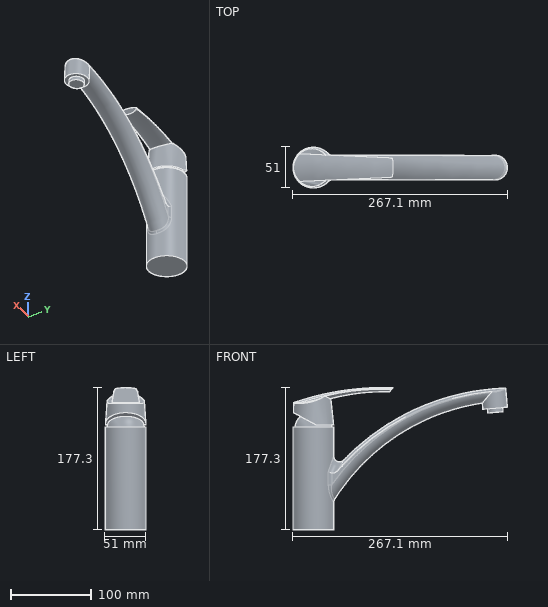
import cadquery as cq
import math

BODY_RADIUS = 51.0 / 2
BODY_HEIGHT = 128.0

BALL_RADIUS = 23.6
BALL_SINK = 3.7

CAP_BASE_RADIUS = 25.4
CAP_BASE_Z = BODY_HEIGHT + 2.7
CAP_TOP_RADIUS = 22.9
CAP_TOP_X = -1.5
CAP_TOP_Z = 168.0
CAP_FRONT_X = -BODY_RADIUS
CAP_FRONT_LOWER_Z = 146.0
CAP_FRONT_UPPER_Z = 157.5
CAP_SLANT_END_X = 3.1
CAP_DISH_MIDDLE = (0.5, 160.0)
CAP_PEAK = (14.5, 166.5)
CAP_BACK_Z = 160.5

LEVER_APEX_X = 88.0
LEVER_APEX_Z = 177.29
LEVER_ARC_RADIUS = 346.0
LEVER_CROWN_DROP = 2.5
LEVER_ROOT_X = -17.0
LEVER_ROOT_HALF_WIDTH = 17.2
LEVER_TIP_X = 99.5
LEVER_TIP_HALF_WIDTH = 12.0
LEVER_TIP_UNDERCUT = 4.8
LEVER_CORNER_RADIUS = 3.5
LEVER_HEEL_Z = 153.0
LEVER_BELLY_APEX_Z = 171.6
LEVER_BELLY_ARC_RADIUS = 263.5
LEVER_BELLY_RISE = 6.0
LEVER_START_ANGLE = 18.0
LEVER_END_ANGLE = -3.5

SPOUT_HALF_WIDTH = 31.0 / 2
SPOUT_ARC_X = 248.7
SPOUT_ARC_Z = -116.3
SPOUT_ARC_RADIUS = 293.0
SPOUT_CROWN_DROP = 3.6
SPOUT_BELLY_ARC_Z = -101.9
SPOUT_BELLY_ARC_RADIUS = 262.1
SPOUT_BELLY_RISE = 13.0
SPOUT_START_ANGLE = 60.0
SPOUT_EDGE_RADIUS = 1.2

SPOUT_ROOT_X = 15.0
SPOUT_ROOT_LOWER_Z = 20.0
SPOUT_ROOT_UPPER_Z = 80.0
SPOUT_BLEND_RADIUS = 7.0
SPOUT_BLEND_END_X = 36.0

BAR_WALL_HEIGHT = 30.0

HEAD_X = 226.2
HEAD_Z = 151.2
HEAD_TILT = 5.0
HEAD_LENGTH = 40.0
AERATOR_RADIUS = 19.44 / 2
AERATOR_LENGTH = 5.3


def crowned_ring(edge_half_width, edge_drop, arc_x, arc_z, arc_radius):
    """Ring about a Y-parallel axis, as wide as the body and crowned on its outer side.

    The crown falls by edge_drop at edge_half_width from the middle plane.
    """
    crown_radius = (edge_half_width**2 + edge_drop**2) / (2 * edge_drop)
    side_radius = arc_radius - crown_radius + math.sqrt(crown_radius**2 - BODY_RADIUS**2)
    inner_radius = arc_radius / 2
    section = (
        cq.Workplane("YZ", origin=(arc_x, 0, arc_z))
        .moveTo(-BODY_RADIUS, side_radius)
        .threePointArc((0, arc_radius), (BODY_RADIUS, side_radius))
        .lineTo(BODY_RADIUS, inner_radius)
        .lineTo(-BODY_RADIUS, inner_radius)
        .close()
    )
    ring = section.revolve(360, (0, 0), (1, 0))
    return ring.rotate((arc_x, 0, arc_z), (arc_x, 1, arc_z), 180)


def bellied_bar(half_width, belly_rise, arc_x, arc_z, arc_radius, start_angle, end_angle):
    """Arched bar with a rounded belly and straight side walls.

    The angles are measured from the vertical above the arc axis, positive towards -X.
    """
    shoulder_radius = arc_radius + belly_rise
    wall_top_radius = shoulder_radius + BAR_WALL_HEIGHT
    section = (
        cq.Workplane("YZ", origin=(arc_x, 0, arc_z))
        .moveTo(-half_width, shoulder_radius)
        .threePointArc((0, arc_radius), (half_width, shoulder_radius))
        .lineTo(half_width, wall_top_radius)
        .lineTo(-half_width, wall_top_radius)
        .close()
    )
    bar = section.revolve(start_angle - end_angle, (0, 0), (1, 0))
    return bar.rotate((arc_x, 0, arc_z), (arc_x, 1, arc_z), -start_angle)


def extrude_across(profile, half_width):
    """Extrude an XZ profile symmetrically to both sides of the middle plane."""
    return profile.extrude(half_width, both=True)


def make_body():
    return cq.Workplane("XY").circle(BODY_RADIUS).extrude(BODY_HEIGHT)


def make_ball():
    return cq.Workplane("XY").sphere(BALL_RADIUS).translate((0, 0, BODY_HEIGHT - BALL_SINK))


def make_cap():
    cone = (
        cq.Workplane("XY", origin=(0, 0, CAP_BASE_Z))
        .circle(CAP_BASE_RADIUS)
        .workplane(offset=CAP_TOP_Z - CAP_BASE_Z)
        .center(CAP_TOP_X, 0)
        .circle(CAP_TOP_RADIUS)
        .loft()
    )
    side_profile = (
        cq.Workplane("XZ")
        .moveTo(CAP_FRONT_X, CAP_FRONT_LOWER_Z)
        .lineTo(CAP_SLANT_END_X, CAP_BASE_Z)
        .lineTo(BODY_RADIUS, CAP_BASE_Z)
        .lineTo(BODY_RADIUS, CAP_BACK_Z)
        .lineTo(*CAP_PEAK)
        .threePointArc(CAP_DISH_MIDDLE, (CAP_FRONT_X, CAP_FRONT_UPPER_Z))
        .close()
    )
    return cone.intersect(extrude_across(side_profile, BODY_RADIUS))


def make_lever_outline():
    """Prism over the plan outline: round heel inside the cap rim, straight tapering sides."""
    heel_fraction = (CAP_FRONT_UPPER_Z - CAP_BASE_Z) / (CAP_TOP_Z - CAP_BASE_Z)
    heel_radius = CAP_BASE_RADIUS + heel_fraction * (CAP_TOP_RADIUS - CAP_BASE_RADIUS)
    heel_x = heel_fraction * CAP_TOP_X - heel_radius
    outline = (
        cq.Workplane("XY")
        .moveTo(LEVER_ROOT_X, -LEVER_ROOT_HALF_WIDTH)
        .lineTo(LEVER_TIP_X, -LEVER_TIP_HALF_WIDTH)
        .lineTo(LEVER_TIP_X, LEVER_TIP_HALF_WIDTH)
        .lineTo(LEVER_ROOT_X, LEVER_ROOT_HALF_WIDTH)
        .threePointArc((heel_x, 0), (LEVER_ROOT_X, -LEVER_ROOT_HALF_WIDTH))
        .close()
    )
    return outline.extrude(LEVER_APEX_Z).edges("|Z and >X").fillet(LEVER_CORNER_RADIUS)


def make_lever():
    crown = crowned_ring(
        LEVER_ROOT_HALF_WIDTH, LEVER_CROWN_DROP,
        LEVER_APEX_X, LEVER_APEX_Z - LEVER_ARC_RADIUS, LEVER_ARC_RADIUS,
    )
    side_profile = (
        cq.Workplane("XZ")
        .moveTo(CAP_FRONT_X, LEVER_HEEL_Z)
        .lineTo(LEVER_TIP_X - LEVER_TIP_UNDERCUT, LEVER_HEEL_Z)
        .lineTo(LEVER_TIP_X - LEVER_TIP_UNDERCUT, LEVER_BELLY_APEX_Z)
        .lineTo(LEVER_TIP_X, LEVER_APEX_Z)
        .lineTo(CAP_FRONT_X, LEVER_APEX_Z)
        .close()
    )
    envelope = make_lever_outline().intersect(extrude_across(side_profile, BODY_RADIUS)).intersect(crown)
    bar = bellied_bar(
        LEVER_ROOT_HALF_WIDTH, LEVER_BELLY_RISE,
        LEVER_APEX_X, LEVER_BELLY_APEX_Z - LEVER_BELLY_ARC_RADIUS, LEVER_BELLY_ARC_RADIUS,
        LEVER_START_ANGLE, LEVER_END_ANGLE,
    )
    cap_peak_x = CAP_PEAK[0]
    root = cq.Workplane("XY").box(
        cap_peak_x - CAP_FRONT_X, 2 * BODY_RADIUS, LEVER_APEX_Z, centered=(False, True, False)
    ).translate((CAP_FRONT_X, 0, 0))
    return envelope.intersect(bar.union(root))


def leaning_cylinder(radius, start, end):
    """Cylinder on the leaning head axis, between two heights above the head's lower face."""
    cylinder = cq.Workplane("XY").workplane(offset=start).circle(radius).extrude(end - start)
    return cylinder.rotate((0, 0, 0), (0, 1, 0), -HEAD_TILT).translate((HEAD_X, 0, HEAD_Z))


def make_spout():
    belly_arc_x = HEAD_X + (HEAD_Z - SPOUT_BELLY_ARC_Z) * math.tan(math.radians(HEAD_TILT))
    bar = bellied_bar(
        SPOUT_HALF_WIDTH, SPOUT_BELLY_RISE,
        belly_arc_x, SPOUT_BELLY_ARC_Z, SPOUT_BELLY_ARC_RADIUS,
        SPOUT_START_ANGLE, HEAD_TILT,
    )
    head = leaning_cylinder(SPOUT_HALF_WIDTH, 0, HEAD_LENGTH)
    crown = crowned_ring(SPOUT_HALF_WIDTH, SPOUT_CROWN_DROP, SPOUT_ARC_X, SPOUT_ARC_Z, SPOUT_ARC_RADIUS)
    return bar.union(head).intersect(crown)


def make_aerator():
    return leaning_cylinder(AERATOR_RADIUS, -AERATOR_LENGTH, AERATOR_LENGTH)


def soften_spout(spout):
    """Round the long upper edges of the spout and the rim of its head, clear of the root."""
    crown_face = spout.faces("%TORUS").faces(">Z")
    clear_of_root = cq.selectors.BoxSelector(
        (BODY_RADIUS, -BODY_RADIUS, 0), (2 * SPOUT_ARC_X, BODY_RADIUS, 2 * BODY_HEIGHT)
    )
    return crown_face.edges(clear_of_root).fillet(SPOUT_EDGE_RADIUS)


def make_body_with_spout():
    """Body with the root of the spout blended into it and the rest of the spout softened."""
    spout = make_spout()
    root_edges = cq.selectors.BoxSelector(
        (SPOUT_ROOT_X, -SPOUT_HALF_WIDTH - 1, SPOUT_ROOT_LOWER_Z),
        (BODY_RADIUS + 1, SPOUT_HALF_WIDTH + 1, SPOUT_ROOT_UPPER_Z),
    )
    blended = make_body().union(spout).edges(root_edges).fillet(SPOUT_BLEND_RADIUS)
    root_half = cq.Workplane("XY").box(2 * SPOUT_BLEND_END_X, 2 * BODY_RADIUS, 2 * BODY_HEIGHT)
    return blended.intersect(root_half).union(soften_spout(spout).cut(root_half))


result = (
    make_body_with_spout()
    .union(make_aerator())
    .union(make_ball())
    .union(make_cap())
    .union(make_lever())
)